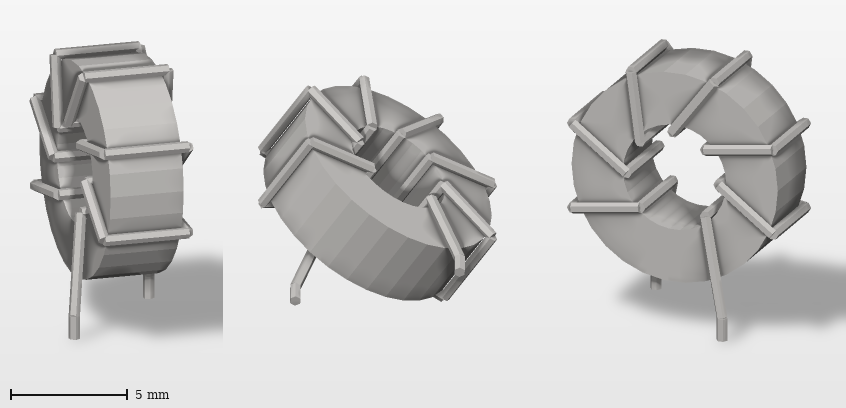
import cadquery as cq
import math

core_outer_diameter = 9.5
core_inner_diameter = 4.75
core_thickness = 3.3
core_side_count = 30

wire_diameter = 0.5
wire_side_count = 6
outer_pass_count = 6
pass_pitch = 45.0
first_outer_angle = -22.5

lead_spacing = 5.09
lead_bend_z = -5.75
lead_end_z = -6.76

wire_radius = wire_diameter / 2
outer_pass_radius = core_outer_diameter / 2 + wire_radius
inner_pass_radius = core_inner_diameter / 2 - wire_radius
side_offset = core_thickness / 2 + wire_radius

first_inner_angle = first_outer_angle - pass_pitch / 2

Y_AXIS = cq.Vector(0, 1, 0)
X_AXIS = cq.Vector(1, 0, 0)
PARALLEL_LIMIT = 1.16e-07


def make_core():
    return (
        cq.Workplane("XZ", origin=(0, core_thickness / 2, 0))
        .polygon(core_side_count, core_outer_diameter)
        .polygon(core_side_count, core_inner_diameter)
        .extrude(core_thickness)
    )


def pass_point(radius, angle, y):
    """Point at the given radius and angle (in degrees) around the core axis."""
    turn = math.radians(angle)
    return cq.Vector(radius * math.cos(turn), y, radius * math.sin(turn))


def winding_points():
    """Corners of the wire centre line, from the front lead to the back lead."""
    lead_offset = lead_spacing / 2
    points = [
        cq.Vector(lead_offset, -lead_offset, lead_end_z),
        cq.Vector(lead_offset, -lead_offset, lead_bend_z),
    ]
    for step in range(outer_pass_count + 1):
        inner_angle = first_inner_angle + step * pass_pitch
        points.append(pass_point(inner_pass_radius, inner_angle, -side_offset))
        points.append(pass_point(inner_pass_radius, inner_angle, side_offset))
        if step < outer_pass_count:
            outer_angle = first_outer_angle + step * pass_pitch
            points.append(pass_point(outer_pass_radius, outer_angle, side_offset))
            points.append(pass_point(outer_pass_radius, outer_angle, -side_offset))
    points.append(cq.Vector(-lead_offset, lead_offset, lead_bend_z))
    points.append(cq.Vector(-lead_offset, lead_offset, lead_end_z))
    return points


def wire_length(start, end):
    """Square-ended hexagonal prism, with two corner edges square to Y from its centre line."""
    run = end - start
    corner_direction = Y_AXIS.cross(run)
    if corner_direction.Length < PARALLEL_LIMIT:
        corner_direction = X_AXIS
    section_plane = cq.Plane(origin=start, xDir=corner_direction, normal=run)
    return (
        cq.Workplane(section_plane)
        .polygon(wire_side_count, wire_diameter)
        .extrude(run.Length)
    )


def make_winding():
    points = winding_points()
    winding = cq.Workplane()
    for start, end in zip(points, points[1:]):
        winding = winding.add(wire_length(start, end))
    return winding.combine()


core = make_core()
winding = make_winding()

result = cq.Compound.makeCompound([core.val(), *winding.solids().vals()])